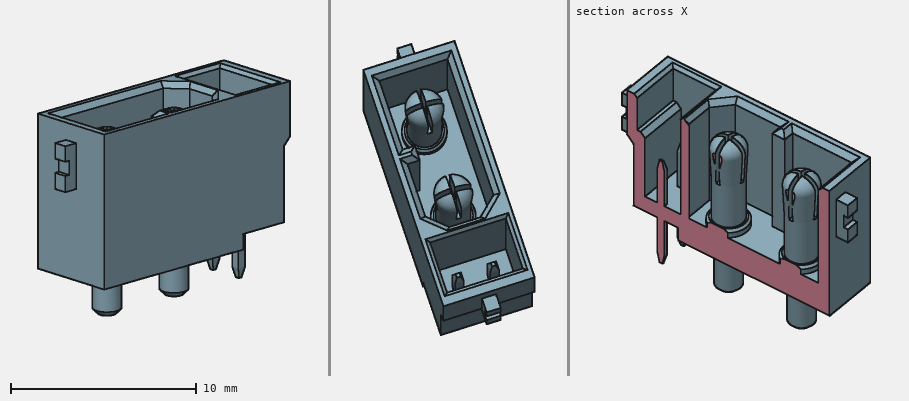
import cadquery as cq

TOTAL_HEIGHT = 11.3
RIM_Z = TOTAL_HEIGHT / 2
CONTACT_END_Z = -TOTAL_HEIGHT / 2
BODY_HEIGHT = 8.79
BODY_BOTTOM_Z = RIM_Z - BODY_HEIGHT
FLOOR_Z = -1.2

TOTAL_LENGTH = 15.5
BODY_WIDTH = 5.2
BODY_LENGTH = 13.89
BACK_RELIEF = 0.45
BACK_RELIEF_DROP = 3.58
STEP_Y = 3.43
STEP_HEIGHT = 0.88

TAB_WIDTH = 0.8
TAB_TOP_DROP = 0.99
TAB_HEIGHT = 2.6
TAB_ROOT = BACK_RELIEF
TAB_NOTCH_DROP = 0.88
TAB_NOTCH_HEIGHT = 0.8
TAB_NOTCH_DEPTH = 0.3

SIGNAL_POCKET_WIDTH = 4.31
SIGNAL_POCKET_FRONT_Y = 3.29
SIGNAL_POCKET_BACK_Y = 6.23
SIGNAL_LEAD_IN = 0.2
LEDGE_Z = 3.21
LEDGE_WIDTH = 0.23
LEDGE_SLOPE = 0.31

POWER_POCKET_HALF_WIDTH = 1.94
POWER_POCKET_FRONT_Y = -6.17
POWER_POCKET_BACK_Y = 2.76
CORNER_X = 0.88
CORNER_Y = 1.8
POWER_LEAD_IN = 0.33
BACK_LEAD_IN = 0.23
CORNER_LEAD_IN_X = 0.2
CORNER_LEAD_IN_Y = 0.11

RIB_X = 1.24
RIB_Y = -1.7
RIB_WIDTH = 0.85

POWER_PITCH = 5.0
POWER_BACK_Y = 0.75
POWER_CONTACT_YS = (POWER_BACK_Y, POWER_BACK_Y - POWER_PITCH)
TAIL_DIAMETER = 1.6
TAIL_CHAMFER = 0.31
COLLAR_DIAMETER = 2.45
COLLAR_HEIGHT = 0.5
COLLAR_CHAMFER = 0.15
NECK_DIAMETER = 1.9
SLOT_WIDTH = 0.25
SLOT_FLOOR_Z = 2.17
DOME_DIAMETER = 2.1
DOME_BASE_Z = 4.08
DOME_HEIGHT = 0.78

SIGNAL_PITCH = 2.0
SIGNAL_PIN_Y = 4.62
PIN_WIDTH = 0.5
PIN_TIP_WIDTH = 0.22
PIN_TAPER = 0.6
PIN_TOP_Z = 1.86
PIN_END_Z = -5.33


def block(x_range, y_range, z_range):
    """Box between the given pairs of limits."""
    limits = (x_range, y_range, z_range)
    sizes = [high - low for low, high in limits]
    low_corner = tuple(low for low, high in limits)
    return cq.Workplane("XY").box(*sizes, centered=False).translate(low_corner)


def side_prism(points, width):
    """Outline of (y, z) points, extruded along X and centred on x = 0."""
    return cq.Workplane("YZ").polyline(points).close().extrude(width / 2, both=True)


def frustum(lower_points, lower_z, upper_points, upper_z):
    """Ruled solid between two horizontal outlines."""
    return (
        cq.Workplane("XY", origin=(0, 0, lower_z))
        .polyline(lower_points)
        .close()
        .workplane(offset=upper_z - lower_z)
        .polyline(upper_points)
        .close()
        .loft(ruled=True, combine=True)
    )


def square_points(x, y, width):
    half = width / 2
    return [(x - half, y - half), (x + half, y - half), (x + half, y + half), (x - half, y + half)]


def housing():
    front = -BODY_LENGTH / 2
    back = BODY_LENGTH / 2
    relief_y = back - BACK_RELIEF
    relief_z = RIM_Z - BACK_RELIEF_DROP
    step_z = BODY_BOTTOM_Z + STEP_HEIGHT
    profile = [
        (front, BODY_BOTTOM_Z),
        (STEP_Y, BODY_BOTTOM_Z),
        (STEP_Y, step_z),
        (relief_y, step_z),
        (relief_y, relief_z),
        (back, relief_z + BACK_RELIEF),
        (back, RIM_Z),
        (front, RIM_Z),
    ]
    return side_prism(profile, BODY_WIDTH)


def latch_tab(side):
    """Notched tab on the end wall at side = -1 (-Y) or +1 (+Y)."""
    root = side * (BODY_LENGTH / 2 - TAB_ROOT)
    tip = side * TOTAL_LENGTH / 2
    notch_floor = tip - side * TAB_NOTCH_DEPTH
    top = RIM_Z - TAB_TOP_DROP
    bottom = top - TAB_HEIGHT
    notch_top = top - TAB_NOTCH_DROP
    notch_bottom = notch_top - TAB_NOTCH_HEIGHT
    profile = [
        (root, bottom),
        (tip, bottom),
        (tip, notch_bottom),
        (notch_floor, notch_bottom),
        (notch_floor, notch_top),
        (tip, notch_top),
        (tip, top),
        (root, top),
    ]
    return side_prism(profile, TAB_WIDTH)


def signal_pocket():
    front = SIGNAL_POCKET_FRONT_Y
    back = SIGNAL_POCKET_BACK_Y
    ledge_edge = back - LEDGE_WIDTH
    slope_foot = ledge_edge - LEDGE_SLOPE
    cavity = side_prism(
        [
            (front, FLOOR_Z),
            (slope_foot, FLOOR_Z),
            (slope_foot, LEDGE_Z - LEDGE_SLOPE),
            (ledge_edge, LEDGE_Z),
            (back, LEDGE_Z),
            (back, RIM_Z),
            (front, RIM_Z),
        ],
        SIGNAL_POCKET_WIDTH,
    )
    lead_in = (
        cq.Workplane("XY", origin=(0, (front + back) / 2, RIM_Z - SIGNAL_LEAD_IN))
        .rect(SIGNAL_POCKET_WIDTH, back - front)
        .workplane(offset=SIGNAL_LEAD_IN)
        .rect(SIGNAL_POCKET_WIDTH + 2 * SIGNAL_LEAD_IN, back - front + 2 * SIGNAL_LEAD_IN)
        .loft(ruled=True, combine=True)
    )
    return cavity.union(lead_in)


def cut_corner_outline(half_width, front, back, corner_x, corner_y):
    """Rectangle whose two +Y corners are cut off."""
    return [
        (-half_width, front),
        (half_width, front),
        (half_width, corner_y),
        (corner_x, back),
        (-corner_x, back),
        (-half_width, corner_y),
    ]


def power_pocket():
    inner = cut_corner_outline(
        POWER_POCKET_HALF_WIDTH, POWER_POCKET_FRONT_Y, POWER_POCKET_BACK_Y, CORNER_X, CORNER_Y
    )
    opening = cut_corner_outline(
        POWER_POCKET_HALF_WIDTH + POWER_LEAD_IN,
        POWER_POCKET_FRONT_Y - POWER_LEAD_IN,
        POWER_POCKET_BACK_Y + BACK_LEAD_IN,
        CORNER_X + CORNER_LEAD_IN_X,
        CORNER_Y + CORNER_LEAD_IN_Y,
    )
    cavity = cq.Workplane("XY", origin=(0, 0, FLOOR_Z)).polyline(inner).close().extrude(RIM_Z - FLOOR_Z)
    return cavity.union(frustum(inner, RIM_Z - POWER_LEAD_IN, opening, RIM_Z))


def polarizing_rib():
    """Rib from floor to rim, rooted in the +X wall, with its free top edges chamfered."""
    half = RIB_WIDTH / 2
    rib = block((RIB_X, BODY_WIDTH / 2), (RIB_Y - half, RIB_Y + half), (FLOOR_Z, RIM_Z))
    return rib.faces(">Z").edges("<X or <Y or >Y").chamfer(POWER_LEAD_IN)


def power_contact(y):
    """Contact with a chamfered tail and collar, and a flared, domed head split by a cross slot."""
    tail_radius = TAIL_DIAMETER / 2
    tail_length = FLOOR_Z - CONTACT_END_Z
    tail = cq.Workplane("XY", origin=(0, 0, CONTACT_END_Z)).circle(tail_radius).extrude(tail_length)
    tail = tail.faces("<Z").chamfer(TAIL_CHAMFER)

    collar = cq.Workplane("XY", origin=(0, 0, FLOOR_Z)).circle(COLLAR_DIAMETER / 2).extrude(COLLAR_HEIGHT)
    collar = collar.faces(">Z").chamfer(COLLAR_CHAMFER)

    neck_radius = NECK_DIAMETER / 2
    dome_radius = DOME_DIAMETER / 2
    head = (
        cq.Workplane("XZ")
        .lineTo(neck_radius, 0)
        .lineTo(neck_radius, SLOT_FLOOR_Z - FLOOR_Z)
        .lineTo(dome_radius, DOME_BASE_Z - FLOOR_Z)
        .ellipseArc(dome_radius, DOME_HEIGHT, 0, 90)
        .close()
        .revolve(360, (0, 0, 0), (0, 1, 0))
        .translate((0, 0, FLOOR_Z))
    )

    slot_reach = (-dome_radius, dome_radius)
    slot_sides = (-SLOT_WIDTH / 2, SLOT_WIDTH / 2)
    slot_heights = (SLOT_FLOOR_Z, DOME_BASE_Z + DOME_HEIGHT)
    slots = block(slot_reach, slot_sides, slot_heights).union(block(slot_sides, slot_reach, slot_heights))

    head = head.cut(slots)
    return tail.union(collar).union(head).translate((0, y, 0))


def signal_pin(x):
    """Square pin tapered at both ends."""
    shank = square_points(x, SIGNAL_PIN_Y, PIN_WIDTH)
    tip = square_points(x, SIGNAL_PIN_Y, PIN_TIP_WIDTH)
    lower_shoulder = PIN_END_Z + PIN_TAPER
    upper_shoulder = PIN_TOP_Z - PIN_TAPER
    pin = frustum(shank, lower_shoulder, shank, upper_shoulder)
    pin = pin.union(frustum(tip, PIN_END_Z, shank, lower_shoulder))
    return pin.union(frustum(shank, upper_shoulder, tip, PIN_TOP_Z))


result = housing()
for side in (-1, 1):
    result = result.union(latch_tab(side))
result = result.cut(signal_pocket()).cut(power_pocket()).union(polarizing_rib())
for contact_y in POWER_CONTACT_YS:
    result = result.union(power_contact(contact_y))
for pin_x in (-SIGNAL_PITCH / 2, SIGNAL_PITCH / 2):
    result = result.union(signal_pin(pin_x))